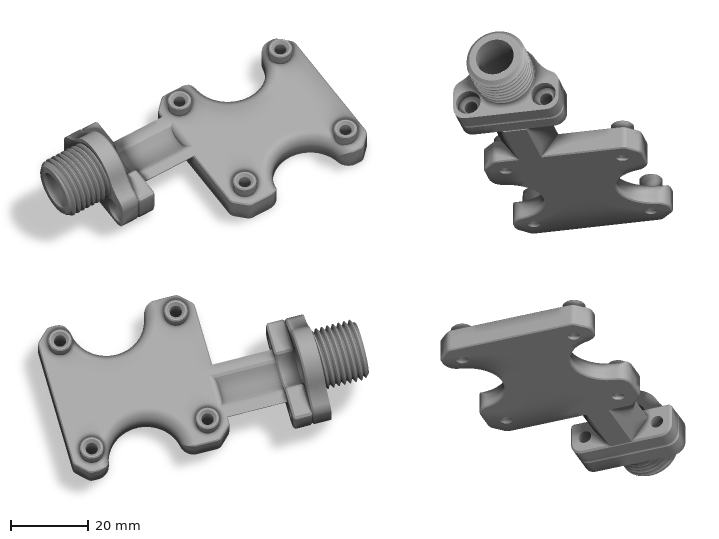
import cadquery as cq
import math


bore_diameter = 10.0
bore_z = 10.5
overall_height = 19.5
flange_width = 28.0
corner_radius = 3.2
blend_radius = 10.0
blend_angle = math.radians(29)
joint_length = 10.0
joint_half = joint_length / 2
joint_chamfer = 0.5
pad_height = 9.3

screw_spacing = 20.0
screw_z = 4.5
screw_diameter = 3.4
counterbore_diameter = 6.5
counterbore_depth = 3.0

thread_length = 12.0
thread_major = 16.0
thread_minor = 14.1
thread_turns = 8
crest_width = 0.15
flank_angle = math.radians(30)
root_overlap = 0.15
thread_first_crest = 0.5
thread_end_chamfer = 1.2

plate_size = 42.0
plate_thickness = 6.2
plate_left = 0.8 - flange_width / 2
corner_cut = 3.6
corner_cut_round = 2.0
plate_bottom_chamfer = 0.3
plate_front_chamfer = 0.3

cutout_radius = 9.75
cutout_inset = 1.35
cutout_offset = 2.0
cutout_round = 3.0
mouth_radius = 3.75

peg_spacing = 31.0
peg_diameter = 6.0
peg_height = 3.2
peg_chamfer = 0.3
peg_bore = 3.2
peg_countersink = 4.7

arm_length = 16.0
arm_top_half = 7.5
arm_bottom_half = 3.0
arm_lip = 0.3
arm_overlap = 0.8
channel_radius = 6.0
channel_rim_half = 4.7
channel_floor_half = 3.9
channel_reach = 1.7

thread_pitch = thread_length / thread_turns
arm_start = joint_half
plate_front = arm_start + arm_length
plate_right = plate_left + plate_size
plate_x = plate_left + plate_size / 2
plate_y = plate_front + plate_size / 2
cutout_y = plate_y + cutout_offset
thread_start = -joint_half
thread_end = thread_start - thread_length
half_width = flange_width / 2


def xz_plane(y):
    """Workplane at a given Y whose local axes are X and Z and which extrudes toward -Y."""
    return cq.Workplane("XZ", origin=(0, y, 0))


def outline(workplane):
    """Flange outline: a crown around the bore, two hollows and a rounded base."""
    crown_radius = overall_height - bore_z
    blend_reach = crown_radius + blend_radius
    blend_x = blend_reach * math.cos(blend_angle)
    blend_z = bore_z + blend_reach * math.sin(blend_angle)
    corner_x = half_width - corner_radius
    corner_reach = blend_radius + corner_radius
    corner_z = blend_z - math.sqrt(corner_reach**2 - (blend_x - corner_x) ** 2)
    corner_angle = math.atan2(blend_z - corner_z, blend_x - corner_x)

    def on_circle(x, z, radius, angle):
        return (x + radius * math.cos(angle), z + radius * math.sin(angle))

    def mirrored(point):
        return (-point[0], point[1])

    crown_end = on_circle(0, bore_z, crown_radius, blend_angle)
    blend_mid = on_circle(blend_x, blend_z, -blend_radius, (blend_angle + corner_angle) / 2)
    blend_end = on_circle(corner_x, corner_z, corner_radius, corner_angle)
    corner_mid = on_circle(corner_x, corner_z, corner_radius, corner_angle / 2)
    base_mid = on_circle(corner_x, corner_radius, corner_radius, -math.pi / 4)
    return (
        workplane.moveTo(-corner_x, 0)
        .lineTo(corner_x, 0)
        .threePointArc(base_mid, (half_width, corner_radius))
        .lineTo(half_width, corner_z)
        .threePointArc(corner_mid, blend_end)
        .threePointArc(blend_mid, crown_end)
        .threePointArc((0, overall_height), mirrored(crown_end))
        .threePointArc(mirrored(blend_mid), mirrored(blend_end))
        .threePointArc(mirrored(corner_mid), (-half_width, corner_z))
        .lineTo(-half_width, corner_radius)
        .threePointArc(mirrored(base_mid), (-corner_x, 0))
        .close()
    )


def cylinder_y(diameter, y_back, y_front, x, z):
    """Cylinder along Y from y_back toward -Y as far as y_front."""
    return xz_plane(y_back).center(x, z).circle(diameter / 2).extrude(y_back - y_front)


def thread_ridge():
    """Right-handed helical ridge around the bore axis, longer than the thread at both ends."""
    root_radius = thread_minor / 2 - root_overlap
    crest_radius = thread_major / 2
    crest_half = crest_width / 2
    root_half = crest_half + (crest_radius - root_radius) * math.tan(flank_angle)
    run = thread_length + 2 * thread_pitch
    helix = cq.Wire.makeHelix(thread_pitch, run, root_radius)
    ridge = (
        cq.Workplane("XZ")
        .moveTo(root_radius, -root_half)
        .lineTo(crest_radius, -crest_half)
        .lineTo(crest_radius, crest_half)
        .lineTo(root_radius, root_half)
        .close()
        .sweep(cq.Workplane(obj=helix), isFrenet=True)
    )
    start = thread_start + thread_pitch - thread_first_crest
    return (
        ridge.rotate((0, 0, 0), (0, 0, 1), 90)
        .rotate((0, 0, 0), (1, 0, 0), 90)
        .translate((0, start, bore_z))
    )


def thread_end_trimmer():
    """Ring and disc that clear everything beyond the spigot's end face and end chamfer."""
    end_radius = thread_major / 2 - thread_end_chamfer
    return (
        cq.Workplane("XY", origin=(0, 0, bore_z))
        .moveTo(0, thread_end)
        .lineTo(end_radius, thread_end)
        .lineTo(end_radius + thread_length, thread_end + thread_length)
        .lineTo(end_radius + thread_length, thread_end - thread_length)
        .lineTo(0, thread_end - thread_length)
        .close()
        .revolve(360, (0, 0, 0), (0, 1, 0))
    )


def threaded_spigot():
    """Threaded rod rooted in the flange, chamfered at its free end."""
    core = cylinder_y(thread_minor, 0, thread_end - 3 * thread_pitch, 0, bore_z)
    return core.union(thread_ridge()).cut(thread_end_trimmer())


def make_connector():
    """Flange with the threaded spigot, the bore and two counterbored screw holes."""
    body = outline(xz_plane(0)).extrude(joint_half).faces(">Y").chamfer(joint_chamfer)
    body = body.union(threaded_spigot())
    body = body.cut(cylinder_y(bore_diameter, 0, thread_end, 0, bore_z))
    for side in (-1, 1):
        x = side * screw_spacing / 2
        counterbore_end = thread_start + counterbore_depth
        body = body.cut(cylinder_y(screw_diameter, 0, thread_start, x, screw_z))
        body = body.cut(cylinder_y(counterbore_diameter, counterbore_end, thread_start, x, screw_z))
    return body


def make_plate():
    """Square plate with cut corners and a round cutout with a rounded rim on two sides."""
    plate = (
        cq.Workplane("XY")
        .center(plate_x, plate_y)
        .rect(plate_size, plate_size)
        .extrude(plate_thickness)
        .edges("|Z")
        .chamfer(corner_cut)
        .edges("|Z")
        .fillet(corner_cut_round)
    )
    centers = [(plate_left + cutout_inset, cutout_y), (plate_right - cutout_inset, cutout_y)]
    cutouts = cq.Workplane("XY").pushPoints(centers).circle(cutout_radius).extrude(plate_thickness)
    plate = plate.cut(cutouts)
    mouths = cq.selectors.BoxSelector(
        (plate_left - 0.8, cutout_y - cutout_radius - 0.8, -0.8),
        (plate_right + 0.8, cutout_y + cutout_radius + 0.8, plate_thickness + 0.8),
    )
    plate = plate.edges("|Z").edges(mouths).fillet(mouth_radius)
    plate = plate.faces("<Z").chamfer(plate_bottom_chamfer)
    plate = plate.edges("<Y and >Z").chamfer(plate_front_chamfer)
    for x, y in centers:
        plate = plate.cut(rim_cutter().translate((x, y, 0)))
    return plate


def rim_cutter():
    """Revolved cutter that leaves a convex quarter round along a cutout's upper rim."""
    rim_bottom = plate_thickness - cutout_round
    rim_radius = cutout_radius + cutout_round
    mid_shift = cutout_round * math.sqrt(0.5)
    return (
        cq.Workplane("XZ")
        .moveTo(0, rim_bottom)
        .lineTo(cutout_radius, rim_bottom)
        .threePointArc((rim_radius - mid_shift, rim_bottom + mid_shift), (rim_radius, plate_thickness))
        .lineTo(0, plate_thickness)
        .close()
        .revolve(360, (0, 0, 0), (0, 1, 0))
    )


def make_arm():
    """Arm between plate and pad, tapering downward below a thin lip."""
    return (
        xz_plane(plate_front + arm_overlap)
        .moveTo(-arm_bottom_half, 0)
        .lineTo(arm_bottom_half, 0)
        .lineTo(arm_top_half, plate_thickness - arm_lip)
        .lineTo(arm_top_half, plate_thickness)
        .lineTo(-arm_top_half, plate_thickness)
        .lineTo(-arm_top_half, plate_thickness - arm_lip)
        .close()
        .extrude(arm_length + arm_overlap)
    )


def make_pad():
    """Lower part of the flange outline with a groove that continues the bore."""
    pad = outline(xz_plane(joint_half)).extrude(joint_half)
    limit = (
        cq.Workplane("XY")
        .center(0, joint_half / 2)
        .rect(flange_width, joint_half)
        .extrude(pad_height)
    )
    pad = pad.intersect(limit)
    pad = pad.cut(cylinder_y(bore_diameter, joint_half, 0, 0, bore_z))
    pad = pad.faces("<Y or >Y or >Z").edges().chamfer(joint_chamfer)
    for side in (-1, 1):
        pad = pad.cut(cylinder_y(screw_diameter, joint_half, 0, side * screw_spacing / 2, screw_z))
    return pad


def channel_cutter():
    """Channel with a round floor concentric with the bore, sloped rims and a rounded-over end."""
    floor_z = bore_z - channel_radius
    floor_edge_z = bore_z - math.sqrt(channel_radius**2 - channel_floor_half**2)
    channel_end = plate_front + channel_reach
    end_round = plate_thickness - floor_z
    mid_shift = end_round * math.sqrt(0.5)
    trough = (
        xz_plane(channel_end)
        .moveTo(-channel_rim_half, plate_thickness)
        .lineTo(-channel_floor_half, floor_edge_z)
        .threePointArc((0, floor_z), (channel_floor_half, floor_edge_z))
        .lineTo(channel_rim_half, plate_thickness)
        .close()
        .extrude(channel_end - arm_start)
    )
    side_view = (
        cq.Workplane("YZ")
        .moveTo(arm_start, floor_z)
        .lineTo(channel_end - end_round, floor_z)
        .threePointArc((channel_end - mid_shift, plate_thickness - end_round + mid_shift),
                       (channel_end, plate_thickness))
        .lineTo(arm_start, plate_thickness)
        .close()
        .extrude(channel_rim_half, both=True)
    )
    return trough.intersect(side_view)


def make_peg():
    """Peg that stands on the plate and reaches down into it, chamfered at the top."""
    return (
        cq.Workplane("XY", origin=(0, 0, plate_thickness - cutout_round))
        .circle(peg_diameter / 2)
        .extrude(cutout_round + peg_height)
        .faces(">Z")
        .chamfer(peg_chamfer)
    )


def peg_bore_cutter():
    """Through hole of a peg with a 45-degree countersink at the top."""
    peg_top = plate_thickness + peg_height
    countersink_depth = (peg_countersink - peg_bore) / 2
    return (
        cq.Workplane("XZ")
        .lineTo(peg_bore / 2, 0)
        .lineTo(peg_bore / 2, peg_top - countersink_depth)
        .lineTo(peg_countersink / 2, peg_top)
        .lineTo(0, peg_top)
        .close()
        .revolve(360, (0, 0, 0), (0, 1, 0))
    )


def make_base():
    """Plate, arm and pad in one piece, with four bored pegs on the plate."""
    body = make_plate().union(make_arm()).union(make_pad()).cut(channel_cutter())
    for x_side in (-1, 1):
        for y_side in (-1, 1):
            place = (plate_x + x_side * peg_spacing / 2, plate_y + y_side * peg_spacing / 2, 0)
            body = body.union(make_peg().translate(place))
            body = body.cut(peg_bore_cutter().translate(place))
    return body


connector = make_connector()
base = make_base()
result = cq.Compound.makeCompound([base.val(), connector.val()])